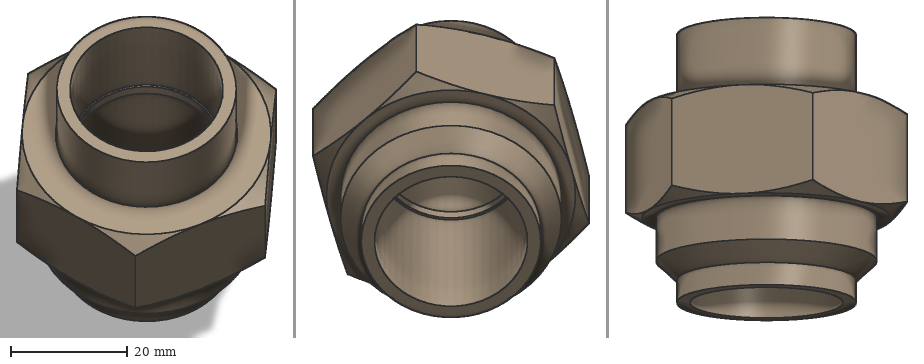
import cadquery as cq
import math


total_height = 47.0
pipe_radius = 15.45
pipe_bore_radius = 13.2

body_radius = 19.0
cone_bottom_z = 3.9
cone_top_z = 7.3

gasket_bore_radius = 12.8
gasket_top_z = 30.0
gasket_thickness = 2.0
gasket_bottom_z = gasket_top_z - gasket_thickness

flange_thickness = 2.0
flange_top_z = gasket_top_z + flange_thickness

nut_corner_diameter = 49.55
nut_bottom_z = 14.9
nut_top_z = 34.05
nut_neck_clearance = 0.2
nut_chamfer_angle = 30.0
nut_height = nut_top_z - nut_bottom_z
nut_corner_radius = nut_corner_diameter / 2
nut_flat_radius = nut_corner_radius * math.cos(math.pi / 6)
nut_chamfer_drop = (nut_corner_radius - nut_flat_radius) * math.tan(math.radians(nut_chamfer_angle))


def cylinder(radius, bottom_z, top_z):
    return cq.Workplane("XY").workplane(offset=bottom_z).circle(radius).extrude(top_z - bottom_z)


def revolve_profile(points):
    """Revolve a closed (radius, z) outline about the Z axis."""
    return cq.Workplane("XZ").polyline(points).close().revolve(360, (0, 0), (0, 1))


def make_body():
    """Lower pipe end widening through a cone to the part held in the nut."""
    return revolve_profile([
        (pipe_bore_radius, 0),
        (pipe_radius, 0),
        (pipe_radius, cone_bottom_z),
        (body_radius, cone_top_z),
        (body_radius, gasket_bottom_z),
        (pipe_bore_radius, gasket_bottom_z),
    ])


def make_gasket():
    """Flat ring between body and tail piece, standing slightly into the bore."""
    ring = cylinder(body_radius, gasket_bottom_z, gasket_top_z)
    return ring.cut(cylinder(gasket_bore_radius, gasket_bottom_z, gasket_top_z))


def make_tail_piece():
    """Upper pipe end with a flange that the nut pulls down on the gasket."""
    flange = cylinder(body_radius, gasket_top_z, flange_top_z)
    pipe = cylinder(pipe_radius, gasket_top_z, total_height)
    return flange.union(pipe).cut(cylinder(pipe_bore_radius, gasket_top_z, total_height))


def make_nut():
    """Hexagon with corners chamfered at both ends and an inward lip at the top."""
    hexagon = (
        cq.Workplane("XY")
        .workplane(offset=nut_bottom_z)
        .polygon(6, nut_corner_diameter)
        .extrude(nut_height)
    )
    corner_envelope = revolve_profile([
        (0, nut_bottom_z),
        (nut_flat_radius, nut_bottom_z),
        (nut_corner_radius, nut_bottom_z + nut_chamfer_drop),
        (nut_corner_radius, nut_top_z - nut_chamfer_drop),
        (nut_flat_radius, nut_top_z),
        (0, nut_top_z),
    ])
    cavity = cylinder(body_radius, nut_bottom_z, flange_top_z)
    neck = cylinder(pipe_radius + nut_neck_clearance, flange_top_z, nut_top_z)
    return hexagon.intersect(corner_envelope).cut(cavity).cut(neck)


body = make_body()
gasket = make_gasket()
tail_piece = make_tail_piece()
nut = make_nut()

result = cq.Compound.makeCompound([body.val(), gasket.val(), tail_piece.val(), nut.val()])